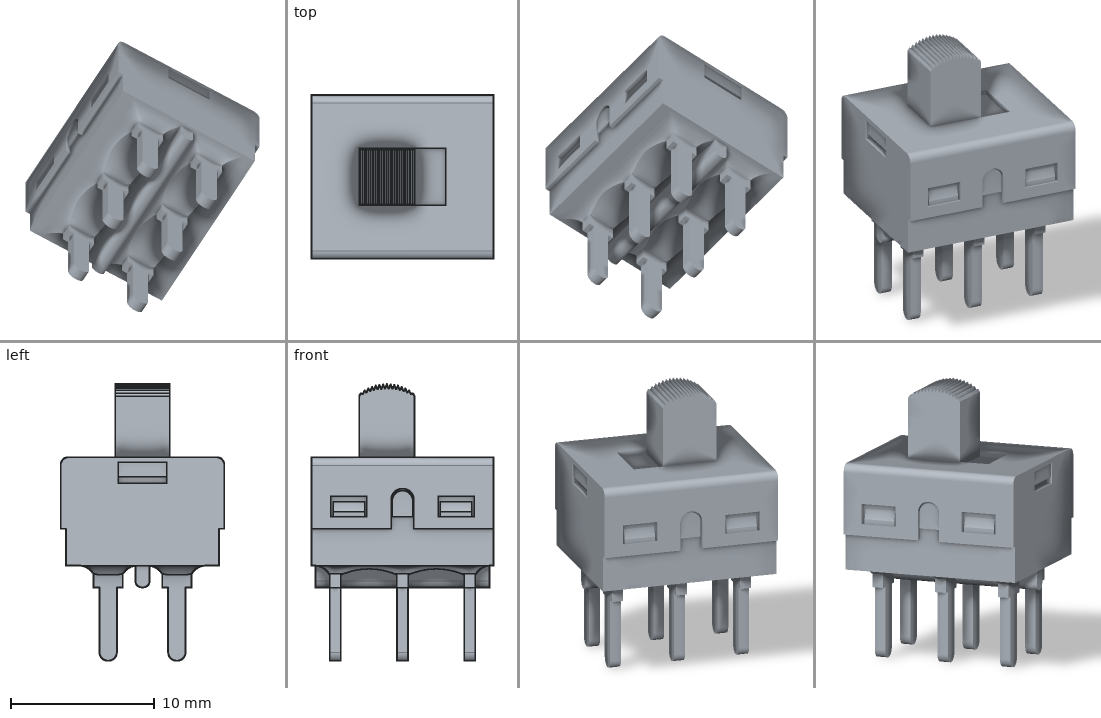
import cadquery as cq
import math


length_x = 12.7
width_y = 11.43
knob_top_z = 12.66
total_height = 19.3

sheet = 0.37
base_width = width_y - 2 * sheet
cover_bottom_z = 2.57
cover_top_z = 7.57
cover_edge_radius = 0.56

opening_length = 6.06
opening_width = 3.98
knob_length = 3.88
knob_width = 3.82
knob_left_x = -opening_length / 2
knob_mid_x = knob_left_x + knob_length / 2
tooth_count = 15
tooth_pitch = knob_length / tooth_count
crest_radius = 2.88
root_radius = 3.86
tooth_depth = 0.33

window_width = 2.53
window_bottom_z = 3.4
window_height = 1.45
window_x = 3.75
latch_width = 2.22
latch_x = 3.72
latch_top_z = 4.44
latch_nose_z = 3.75
latch_reach = 0.23

notch_width = 1.58
notch_top_z = 5.37
tab_width = 1.45
tab_top_z = 5.23
tab_reach = 0.23

slot_width = 3.35
slot_bottom_z = 5.73
slot_step_z = 6.2
slot_top_z = cover_top_z - sheet
slot_shallow = 0.1

pin_pitch = 4.69
pin_row_y = 2.4
pin_thickness = 0.8
pin_width = 1.24
pin_bottom_z = knob_top_z - total_height
shoulder_width = 2.07
shoulder_bottom_z = -1.52

seal_depth = 0.64
seal_valley = 0.23
seal_side_depth = 0.56
seal_crown_width = 1.37
seal_flank_radius = 1.2


def flank_run(depth):
    """Sideways run of a hollow flank that meets the base tangentially and is this deep."""
    return math.sqrt(seal_flank_radius**2 - (seal_flank_radius - depth) ** 2)


seal_half_width = shoulder_width / 2 + flank_run(seal_side_depth)
seal_half_length = pin_pitch + pin_thickness / 2 + flank_run(seal_depth)

rib_length = 12.15
rib_width = 1.0
rib_edge_radius = 0.46


def block(x_range, y_range, z_range):
    """Box spanning the given (low, high) ranges."""
    low = (x_range[0], y_range[0], z_range[0])
    sizes = [high - start for start, high in (x_range, y_range, z_range)]
    return cq.Workplane("XY").box(*sizes, centered=False).translate(low)


def centred(size, middle=0.0):
    """(low, high) range of a size about its middle."""
    return (middle - size / 2, middle + size / 2)


def arch(width, bottom_z, top_z, y_range):
    """Round-topped block standing across Y."""
    radius = width / 2
    profile = (
        cq.Workplane("XZ", origin=(0, y_range[1], 0))
        .moveTo(-radius, bottom_z)
        .lineTo(-radius, top_z - radius)
        .threePointArc((0, top_z), (radius, top_z - radius))
        .lineTo(radius, bottom_z)
        .close()
    )
    return profile.extrude(y_range[1] - y_range[0])


def both_sides(shape, plane):
    """Shape joined with its mirror image."""
    return shape.union(shape.mirror(plane))


def make_housing():
    base = block(centred(length_x), centred(base_width), (0, cover_top_z - sheet))
    cover = block(centred(length_x), centred(width_y), (cover_bottom_z, cover_top_z))
    cover = cover.edges("|X and >Z").fillet(cover_edge_radius)
    opening = block(
        centred(opening_length), centred(opening_width), (cover_top_z - sheet, cover_top_z)
    )
    return base.union(cover).cut(opening)


def make_side_openings():
    """Windows and notch through the cover on both long sides."""
    wall = (-width_y / 2, -base_width / 2)
    cutter = arch(notch_width, cover_bottom_z, notch_top_z, wall)
    window_z = (window_bottom_z, window_bottom_z + window_height)
    for side in (-1, 1):
        cutter = cutter.union(block(centred(window_width, side * window_x), wall, window_z))
    return both_sides(cutter, "XZ")


def make_side_details():
    """Ramped latches in the windows and the rounded tab in the notch, on both long sides."""
    face_y = -base_width / 2
    details = arch(tab_width, window_bottom_z, tab_top_z, (face_y - tab_reach, face_y))
    for side in (-1, 1):
        latch = (
            cq.Workplane("YZ", origin=(side * latch_x - latch_width / 2, 0, 0))
            .moveTo(face_y, latch_top_z)
            .lineTo(face_y - latch_reach, latch_nose_z)
            .lineTo(face_y - latch_reach, window_bottom_z)
            .lineTo(face_y, window_bottom_z)
            .close()
            .extrude(latch_width)
        )
        details = details.union(latch)
    return both_sides(details, "XZ")


def make_end_slots():
    """Slots in both ends: shallow above the step, as deep as the sheet below it."""
    end_x = -length_x / 2
    shallow = block((end_x, end_x + slot_shallow), centred(slot_width), (slot_step_z, slot_top_z))
    deep = block((end_x, end_x + sheet), centred(slot_width), (slot_bottom_z, slot_step_z))
    return both_sides(shallow.union(deep), "YZ")


def make_knob():
    """Knob whose top is a row of teeth between a crest arc and a flatter root arc."""
    crest_centre_z = knob_top_z - crest_radius
    root_centre_z = knob_top_z - tooth_depth - root_radius

    def on_arc(x, radius, centre_z):
        return (x, centre_z + math.sqrt(radius**2 - (x - knob_mid_x) ** 2))

    points = [on_arc(knob_left_x, root_radius, root_centre_z)]
    for tooth in range(tooth_count):
        root_x = knob_left_x + tooth * tooth_pitch
        points.append(on_arc(root_x + tooth_pitch / 2, crest_radius, crest_centre_z))
        points.append(on_arc(root_x + tooth_pitch, root_radius, root_centre_z))
    foot_z = cover_top_z - sheet
    points += [(knob_left_x + knob_length, foot_z), (knob_left_x, foot_z)]
    outline = cq.Workplane("XZ", origin=(0, knob_width / 2, 0)).polyline(points).close()
    return outline.extrude(knob_width)


def make_pin(x, y):
    """Flat pin with a wide shoulder and a full-round tip."""
    thickness = centred(pin_thickness, x)
    shoulder = block(thickness, centred(shoulder_width, y), (shoulder_bottom_z, 0))
    radius = pin_width / 2
    blade = (
        cq.Workplane("YZ", origin=(thickness[0], y, 0))
        .moveTo(-radius, 0)
        .lineTo(-radius, pin_bottom_z + radius)
        .threePointArc((0, pin_bottom_z), (radius, pin_bottom_z + radius))
        .lineTo(radius, 0)
        .close()
        .extrude(pin_thickness)
    )
    return shoulder.union(blade)


def make_seal(y):
    """Ridge of compound along a row: a hollow-sided section, sagging between the pins."""
    half_shoulder = shoulder_width / 2
    half_crown = seal_crown_width / 2
    ridge = (
        cq.Workplane("YZ", origin=(-seal_half_length, y, 0))
        .moveTo(-seal_half_width, 0)
        .radiusArc((-half_shoulder, -seal_side_depth), seal_flank_radius)
        .lineTo(-half_crown, -seal_depth)
        .lineTo(half_crown, -seal_depth)
        .lineTo(half_shoulder, -seal_side_depth)
        .radiusArc((seal_half_width, 0), seal_flank_radius)
        .close()
        .extrude(2 * seal_half_length)
    )
    half_pin = pin_thickness / 2
    side = (
        cq.Workplane("XZ", origin=(0, y + seal_half_width, 0))
        .moveTo(-seal_half_length, 0)
        .radiusArc((-pin_pitch - half_pin, -seal_depth), seal_flank_radius)
        .lineTo(-pin_pitch + half_pin, -seal_depth)
        .threePointArc((-pin_pitch / 2, -seal_valley), (-half_pin, -seal_depth))
        .lineTo(half_pin, -seal_depth)
        .threePointArc((pin_pitch / 2, -seal_valley), (pin_pitch - half_pin, -seal_depth))
        .lineTo(pin_pitch + half_pin, -seal_depth)
        .radiusArc((seal_half_length, 0), seal_flank_radius)
        .close()
        .extrude(2 * seal_half_width)
    )
    return ridge.intersect(side)


def make_rib():
    rib = block(centred(rib_length), centred(rib_width), (shoulder_bottom_z, 0))
    return rib.edges("|X and <Z").fillet(rib_edge_radius)


result = make_housing().cut(make_side_openings()).cut(make_end_slots())
result = result.union(make_side_details()).union(make_knob()).union(make_rib())
for row_y in (-pin_row_y, pin_row_y):
    result = result.union(make_seal(row_y))
    for pin_x in (-pin_pitch, 0, pin_pitch):
        result = result.union(make_pin(pin_x, row_y))